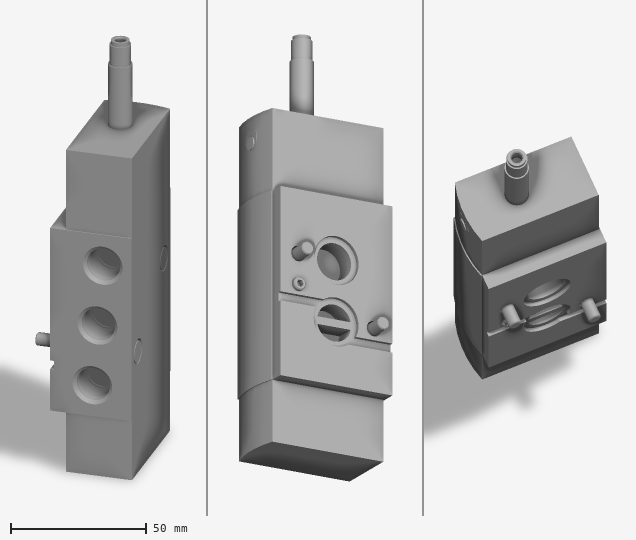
import cadquery as cq
import math


block_depth = 31.6
block_height = 74.0
block_mid_z = 0.2
block_front_y = -23.8
block_side_y = 23.6
strip_depth = 6.0
crown_start_y = 24.1
crown_peak_y = 26.0
cap_inset = 0.5
upper_cap_height = 32.3
lower_cap_height = 24.2

tube_x = 18.3
tube_y = 4.4
tube_diameter = 9.0
tube_height = 24.9
tube_tip_diameter = 8.0
tube_tip_height = 8.0
tube_neck_diameter = 6.9
tube_neck_height = 1.6
tube_hole_diameter = 4.13
tube_hole_rim = 5.0
tube_hole_depth = 5.0
drill_point_angle = 118.0

flange_port_spacing = 24.0
flange_port_diameter = 14.4
flange_port_depth = 10.0
seal_recess_diameter = 19.0
seal_recess_depth = 1.6
bridge_width = 3.0
channel_width = 3.5
channel_offset = 6.25

side_port_mid_x = 18.4
side_port_spacing = 24.5
side_port_step = 2.0
side_port_rim = 15.4
side_port_diameter = 12.9
side_port_core_diameter = 12.0
side_port_thread_depth = 12.0
side_port_depth = 13.0

thread_diameter = 5.0
tip_diameter = 4.13
screw_projection = 7.5
screw_hole_diameter = 6.0
screw_head_diameter = 8.5
screw_head_height = 5.0
counterbore_diameter = 10.0
screw_y = 16.0
screw_z = 12.0
stud_projection = 1.5
stud_length = 10.0
stud_y = 16.0
stud_z = 0.0
stud_hole_rim = 5.5
socket_across_flats = 2.5
socket_depth = 2.5

override_pad_diameter = 8.5
override_pad_drop = 9.0
override_pin_diameter = 5.0
override_pin_drop = 10.4

block_top = block_mid_z + block_height / 2
block_bottom = block_mid_z - block_height / 2
cap_top = block_top + upper_cap_height
crown_mid_x = (strip_depth + block_depth) / 2
cap_peak_y = crown_peak_y - cap_inset
head_seat_x = block_depth - screw_head_height
upper_port_z = flange_port_spacing / 2
lower_port_z = -flange_port_spacing / 2
screw_places = [(screw_y, screw_z), (-screw_y, -screw_z)]


def rod_x(diameter, y, z, x_start, x_end):
    """Round rod along X between two X positions."""
    plane = cq.Workplane("YZ", origin=(x_start, y, z))
    return plane.circle(diameter / 2).extrude(x_end - x_start)


def cone_frustum(base, direction, start_diameter, end_diameter, length):
    """Round taper that starts at a point and runs along a direction."""
    axis = cq.Vector(*direction)
    cone = cq.Solid.makeCone(start_diameter / 2, end_diameter / 2, length, cq.Vector(*base), axis)
    return cq.Workplane(cone)


def make_block():
    """Valve block with a crowned back and a flat strip beside the mounting face."""
    outline = (
        cq.Workplane("XY", origin=(0, 0, block_bottom))
        .moveTo(0, block_front_y)
        .lineTo(block_depth, block_front_y)
        .lineTo(block_depth, crown_start_y)
        .threePointArc((crown_mid_x, crown_peak_y), (strip_depth, crown_start_y))
        .lineTo(strip_depth, block_side_y)
        .lineTo(0, block_side_y)
        .close()
    )
    return outline.extrude(block_height)


def make_cap(bottom_z, height):
    """End cap that follows the crown of the block, set in from it in Y."""
    cap_edge_y = crown_start_y - cap_inset
    outline = (
        cq.Workplane("XY", origin=(0, 0, bottom_z))
        .moveTo(strip_depth, block_front_y + cap_inset)
        .lineTo(block_depth, block_front_y + cap_inset)
        .lineTo(block_depth, cap_edge_y)
        .threePointArc((crown_mid_x, cap_peak_y), (strip_depth, cap_edge_y))
        .close()
    )
    return outline.extrude(height)


def make_tube():
    """Stepped tube with a countersunk blind hole in its end."""
    base = cq.Workplane("XY", origin=(tube_x, tube_y, cap_top))
    tube_top = tube_height + tube_tip_height + tube_neck_height
    tube = base.circle(tube_diameter / 2).extrude(tube_height)
    tube = tube.union(base.circle(tube_tip_diameter / 2).extrude(tube_top - tube_neck_height))
    tube = tube.union(base.circle(tube_neck_diameter / 2).extrude(tube_top))

    rim_depth = (tube_hole_rim - tube_hole_diameter) / 2
    point_depth = tube_hole_diameter / 2 / math.tan(math.radians(drill_point_angle / 2))
    hole = (
        cq.Workplane("XZ", origin=(tube_x, tube_y, cap_top + tube_top))
        .moveTo(0, 0)
        .lineTo(tube_hole_rim / 2, 0)
        .lineTo(tube_hole_diameter / 2, -rim_depth)
        .lineTo(tube_hole_diameter / 2, -tube_hole_depth)
        .lineTo(0, -tube_hole_depth - point_depth)
        .close()
        .revolve(360, (0, 0, 0), (0, 1, 0))
    )
    return tube.cut(hole)


def make_override_disc(diameter, drop, face_y):
    """Round disc that stands on the crowned back of the upper cap."""
    plane = cq.Workplane("XZ", origin=(crown_mid_x, face_y, cap_top - drop))
    return plane.circle(diameter / 2).extrude(face_y - crown_start_y)


def make_override():
    pad = make_override_disc(override_pad_diameter, override_pad_drop, cap_peak_y)
    pin = make_override_disc(override_pin_diameter, override_pin_drop, crown_peak_y)
    return pad.union(pin)


def make_channel(y_edge, z):
    """Vent channel from the lower flange port out to one side of the block."""
    channel = cq.Workplane("XY").box(seal_recess_depth, abs(y_edge), channel_width)
    return channel.translate((seal_recess_depth / 2, y_edge / 2, z))


def make_flange_port_cutter():
    cutter = cq.Workplane("XY")
    for z in (upper_port_z, lower_port_z):
        cutter = cutter.add(rod_x(seal_recess_diameter, 0, z, 0, seal_recess_depth))
        cutter = cutter.add(rod_x(flange_port_diameter, 0, z, 0, flange_port_depth))
    cutter = cutter.add(make_channel(block_side_y, lower_port_z + channel_offset))
    cutter = cutter.add(make_channel(block_front_y, lower_port_z - channel_offset))
    return cutter.combine()


def make_bridge():
    """Web across the lower flange port, level with the floor of the seal recess."""
    length = flange_port_depth - seal_recess_depth
    bridge = cq.Workplane("XY").box(length, flange_port_diameter, bridge_width)
    bridge = bridge.translate((seal_recess_depth + length / 2, 0, lower_port_z))
    return bridge.intersect(rod_x(flange_port_diameter, 0, lower_port_z, 0, flange_port_depth))


def make_side_port_cutter(level):
    """Countersunk blind port; level is -1, 0 or 1 from bottom to top."""
    x = side_port_mid_x + level * side_port_step
    z = block_mid_z + level * side_port_spacing
    base = (x, block_front_y, z)
    rim_depth = (side_port_rim - side_port_diameter) / 2
    plane = cq.Workplane("XZ", origin=base)
    core = plane.circle(side_port_core_diameter / 2).extrude(-side_port_depth)
    thread = plane.circle(side_port_diameter / 2).extrude(-side_port_thread_depth)
    rim = cone_frustum(base, (0, 1, 0), side_port_rim, side_port_diameter, rim_depth)
    return core.union(thread).union(rim)


def make_screw_hole(y, z):
    """Clearance hole with a counterbore for the screw head on the +X side."""
    hole = rod_x(screw_hole_diameter, y, z, 0, block_depth)
    return hole.union(rod_x(counterbore_diameter, y, z, head_seat_x, block_depth))


def make_stud_hole():
    """Blind hole that holds the coding stud, with a small countersink."""
    hole = rod_x(thread_diameter, stud_y, stud_z, 0, stud_length - stud_projection)
    rim_depth = (stud_hole_rim - thread_diameter) / 2
    return hole.union(cone_frustum((0, stud_y, stud_z), (1, 0, 0), stud_hole_rim, thread_diameter, rim_depth))


def make_valve():
    valve = make_block()
    valve = valve.union(make_cap(block_top, upper_cap_height))
    valve = valve.union(make_cap(block_bottom - lower_cap_height, lower_cap_height))
    valve = valve.union(make_tube())
    valve = valve.union(make_override())
    valve = valve.cut(make_flange_port_cutter()).union(make_bridge())
    for level in (-1, 0, 1):
        valve = valve.cut(make_side_port_cutter(level))
    for y, z in screw_places:
        valve = valve.cut(make_screw_hole(y, z))
    return valve.cut(make_stud_hole())


def make_threaded_rod(y, z, x_start, x_end):
    """M5 rod along X with a chamfered -X tip."""
    tip_chamfer = (thread_diameter - tip_diameter) / 2
    return rod_x(thread_diameter, y, z, x_start, x_end).faces("<X").chamfer(tip_chamfer)


def make_screw(y, z):
    """Cap screw with its head flush with the +X side of the block."""
    shank = make_threaded_rod(y, z, -screw_projection, block_depth)
    return shank.union(rod_x(screw_head_diameter, y, z, head_seat_x, block_depth))


def make_coding_stud():
    x_start = -stud_projection
    stud = make_threaded_rod(stud_y, stud_z, x_start, stud_length - stud_projection)
    across_corners = socket_across_flats / math.cos(math.pi / 6)
    plane = cq.Workplane("YZ", origin=(x_start, stud_y, stud_z))
    return stud.cut(plane.polygon(6, across_corners).extrude(socket_depth))


valve = make_valve()
screws = [make_screw(y, z) for y, z in screw_places]
coding_stud = make_coding_stud()

result = cq.Compound.makeCompound([valve.val(), *[screw.val() for screw in screws], coding_stud.val()])